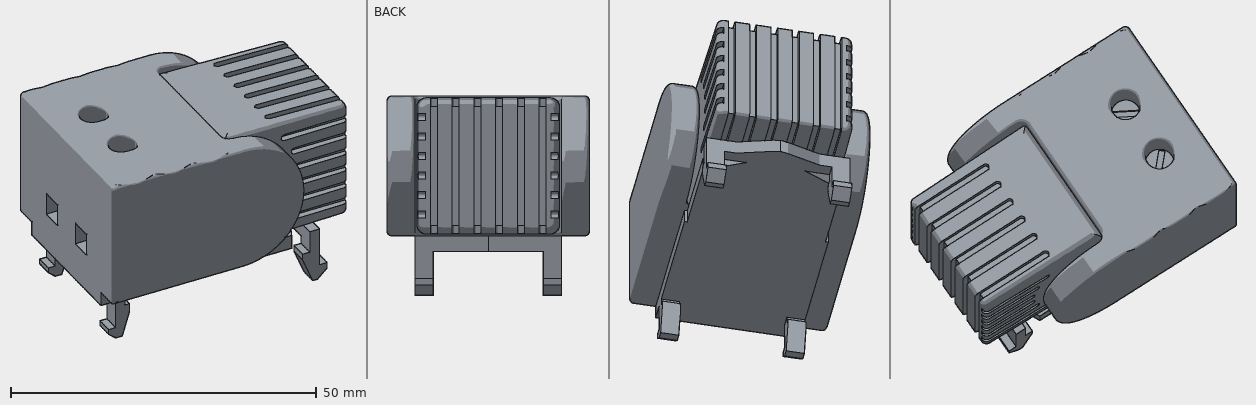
import cadquery as cq
import math

width = 33.15
height = 22.95
length = 46.25
mid_height = height / 2
cheek_radius = mid_height
cheek_centre_y = 24.1
outer_fillet = 0.85

gap_width = 23.95
gap_floor_y = 23.12
gap_corner_radius = 1.4
gap_fillet = 0.75

groove_count = 3
groove_pitch = 7.0
groove_depth = 0.32
groove_flat = 0.1
groove_end_fillet = outer_fillet - groove_depth
first_ridge_y = outer_fillet

terminal_x = 5.05
screw_y = first_ridge_y + groove_pitch
screw_radius = 2.35
screw_depth = 5.1
screw_rim_fillet = 0.45
screw_slot_length = 4.55
screw_slot_width = 1.0
screw_slot_depth = 0.5
screw_slot_angles = (-43, 60)
entry_width = 3.85
entry_height = 4.02
entry_centre_z = 6.45
entry_depth = 5.0
entry_inset = 0.35

plug_front_width = 23.4
plug_front_height = 22.4
plug_draft = 0.4
plug_corner_radius = 1.6
plug_front_fillet = 1.45
plug_rear_fillet = 0.92

slot_width = 1.15
slot_depth = 1.0
top_slot_count = 6
top_slot_pitch = 3.55
top_slot_end_y = 32.2
side_slot_pitch = 3.2
side_slot_end_ys = (36.5, 35.65, 33.75)

plate_width = 24.05
plate_thickness = 2.55
tail_width = 23.12
tail_shoulder_y = 35.65
tail_neck_width = 9.8
tip_base_width = 13.88
tip_bend_width = 2.78
tip_bend_y = 42.2
tip_y = 42.45
leg_width = 3.05
leg_bottom_z = -9.7
front_leg_front_y = 2.75
front_leg_back_y = 4.5
rear_leg_front_y = 38.75
rear_leg_back_y = 40.6

front_leg_front_barb = [(1.45, -8.6), (1.45, -7.7), (front_leg_front_y, -7.7)]
front_leg_back_barb = [(front_leg_back_y, -3.8), (5.3, -3.8), (5.3, -5.3)]
front_leg_tip_back_y = 4.0
rear_leg_front_barb = [(rear_leg_front_y, -4.0), (37.4, -4.0), (37.4, -5.1)]
rear_leg_back_barb = [(42.0, -8.05), (42.0, -7.0), (rear_leg_back_y, -7.0)]
rear_leg_tip_front_y = 39.3
rear_leg_tip_back_y = 40.2

pick_margin = 0.05


def make_box(x_range, y_range, z_range):
    """Box given by its limits along each axis."""
    return (
        cq.Workplane()
        .box(x_range[1] - x_range[0], y_range[1] - y_range[0], z_range[1] - z_range[0], centered=False)
        .translate((x_range[0], y_range[0], z_range[0]))
    )


def make_housing():
    """Rounded block with the cheek gap and all of its edge fillets."""
    block = (
        cq.Workplane("YZ")
        .lineTo(cheek_centre_y, 0)
        .threePointArc((cheek_centre_y + cheek_radius, mid_height), (cheek_centre_y, height))
        .lineTo(0, height)
        .close()
        .extrude(width / 2, both=True)
    )
    gap = make_box((-gap_width / 2, gap_width / 2), (gap_floor_y, length), (0, height))
    gap = gap.edges("<Y and |Z").fillet(gap_corner_radius)
    block = block.edges("<X or >X or (<Y and >Z)").fillet(outer_fillet)
    housing = block.cut(gap)
    gap_rim = cq.selectors.BoxSelector(
        (-gap_width / 2 - pick_margin, gap_floor_y - pick_margin, -pick_margin),
        (gap_width / 2 + pick_margin, length, height + pick_margin),
        True,
    )
    return housing.edges(gap_rim).edges("not |Z").fillet(gap_fillet)


def cut_grip_grooves(body):
    """V grooves side by side along the top, leaving sharp ridges; the groove ends are rounded off."""
    outline = [(0, 0), (0, height), (first_ridge_y, height)]
    for index in range(groove_count):
        ridge_y = first_ridge_y + index * groove_pitch
        trough_y = ridge_y + groove_pitch / 2
        outline += [
            (trough_y - groove_flat / 2, height - groove_depth),
            (trough_y + groove_flat / 2, height - groove_depth),
            (ridge_y + groove_pitch, height),
        ]
    outline += [(length, height), (length, 0)]
    grooved_block = cq.Workplane("YZ").polyline(outline).close().extrude(width / 2, both=True)
    top_side_edges = cq.selectors.BoxSelector(
        (-width, first_ridge_y - pick_margin, mid_height), (width, length - pick_margin, 2 * height)
    )
    grooved_block = grooved_block.edges("<X or >X").edges(top_side_edges).fillet(groove_end_fillet)
    return body.intersect(grooved_block)


def cut_screws(body):
    """Round wells with slotted screw heads at the bottom."""
    floor_z = height - screw_depth
    pick_reach = screw_radius + pick_margin
    for side, angle in zip((-1, 1), screw_slot_angles):
        x = side * terminal_x
        well = cq.Workplane().circle(screw_radius).extrude(screw_depth).translate((x, screw_y, floor_z))
        body = body.cut(well)
        slot = (
            cq.Workplane()
            .rect(screw_slot_length, screw_slot_width)
            .extrude(-screw_slot_depth)
            .rotate((0, 0, 0), (0, 0, 1), angle)
            .translate((x, screw_y, floor_z))
        )
        body = body.cut(slot)
        rim = cq.selectors.BoxSelector(
            (x - pick_reach, screw_y - pick_reach, height - 2 * groove_depth),
            (x + pick_reach, screw_y + pick_reach, height + pick_margin),
            True,
        )
        body = body.edges(rim).edges("not #Z").edges("not |Z").fillet(screw_rim_fillet)
    return body


def cut_wire_entries(body):
    """Rectangular funnels that narrow towards their floor."""
    entry_taper = math.degrees(math.atan(entry_inset / entry_depth))
    for x in (-terminal_x, terminal_x):
        entry = (
            cq.Workplane("XZ", origin=(x, 0, entry_centre_z))
            .rect(entry_width, entry_height)
            .extrude(-entry_depth, taper=entry_taper)
        )
        body = body.cut(entry)
    return body


def plug_section(inset):
    """Rounded cross-section of the plug, shrunk evenly by inset."""
    return (
        cq.Sketch()
        .rect(plug_front_width - 2 * inset, plug_front_height - 2 * inset)
        .vertices()
        .fillet(plug_corner_radius - inset)
    )


def make_plug():
    """Tapered block, rounded above and below at the front and all round at the rear."""
    rear_section = plug_section(plug_draft).moved(cq.Location(cq.Vector(0, 0, gap_floor_y - length)))
    plug = (
        cq.Workplane("XZ", origin=(0, gap_floor_y, mid_height))
        .placeSketch(plug_section(0), rear_section)
        .loft(ruled=True)
    )
    front_half = plug_front_height / 2
    rear_half = front_half - plug_draft
    side_profile = [
        (gap_floor_y, mid_height - front_half),
        (gap_floor_y, mid_height + front_half),
        (length, mid_height + rear_half),
        (length, mid_height - rear_half),
    ]
    rounding = cq.Workplane("YZ").polyline(side_profile).close().extrude(plug_front_width, both=True)
    rounding = rounding.edges("<Y and |X").fillet(plug_front_fillet)
    plug = plug.intersect(rounding)
    return plug.faces(">Y").edges().fillet(plug_rear_fillet)


def grip_slot(end_y):
    """Slot cutter lying flat, running rearwards from its rounded end."""
    straight_start = end_y + slot_width / 2
    return (
        cq.Workplane()
        .moveTo(slot_width / 2, length)
        .lineTo(slot_width / 2, straight_start)
        .threePointArc((0, end_y), (-slot_width / 2, straight_start))
        .lineTo(-slot_width / 2, length)
        .close()
        .extrude(height)
    )


def cut_grip_slots(plug):
    """Slots on the top, bottom and both sides; the top ones run down the rear face."""
    rear_half_width = plug_front_width / 2 - plug_draft
    rear_half_height = plug_front_height / 2 - plug_draft
    for index in range(top_slot_count):
        x = (index - (top_slot_count - 1) / 2) * top_slot_pitch
        slot = grip_slot(top_slot_end_y)
        plug = plug.cut(slot.translate((x, 0, mid_height + rear_half_height - slot_depth)))
        plug = plug.cut(slot.translate((x, 0, mid_height - rear_half_height + slot_depth - height)))
        slot_sides = (x - slot_width / 2, x + slot_width / 2)
        plug = plug.cut(make_box(slot_sides, (length - slot_depth, length), (0, height)))
    for index, end_y in enumerate(side_slot_end_ys):
        for side in (-1, 1):
            for up in (-1, 1):
                z = mid_height + up * (index + 0.5) * side_slot_pitch
                slot = grip_slot(end_y).rotate((0, 0, 0), (0, 1, 0), side * 90)
                plug = plug.cut(slot.translate((side * (rear_half_width - slot_depth), 0, z)))
    return plug


def make_base_plate():
    """Flat plate with a pointed tail and the crossbar that carries the rear legs."""
    half_outline = [
        (plate_width / 2, 0),
        (plate_width / 2, gap_floor_y),
        (tail_width / 2, gap_floor_y),
        (tail_width / 2, tail_shoulder_y),
        (tail_neck_width / 2, rear_leg_front_y),
        (plate_width / 2, rear_leg_front_y),
        (plate_width / 2, rear_leg_back_y),
        (tip_base_width / 2, rear_leg_back_y),
        (tip_bend_width / 2, tip_bend_y),
        (0, tip_y),
    ]
    mirrored = [(-x, y) for x, y in reversed(half_outline[:-1])]
    return cq.Workplane().polyline(half_outline + mirrored).close().extrude(-plate_thickness)


def add_legs(body):
    """Two pairs of snap legs with a barb on each side."""
    front_leg = [
        (front_leg_back_y, -plate_thickness),
        *front_leg_back_barb,
        (front_leg_tip_back_y, leg_bottom_z),
        (front_leg_front_y, leg_bottom_z),
        *front_leg_front_barb,
        (front_leg_front_y, -plate_thickness),
    ]
    rear_leg = [
        (rear_leg_front_y, -plate_thickness),
        *rear_leg_front_barb,
        (rear_leg_tip_front_y, leg_bottom_z),
        (rear_leg_tip_back_y, leg_bottom_z),
        *rear_leg_back_barb,
        (rear_leg_back_y, -plate_thickness),
    ]
    for outline in (front_leg, rear_leg):
        leg = cq.Workplane("YZ").polyline(outline).close().extrude(leg_width)
        for x in (-plate_width / 2, plate_width / 2 - leg_width):
            body = body.union(leg.translate((x, 0, 0)))
    return body


housing = make_housing()
housing = cut_grip_grooves(housing)
housing = cut_screws(housing)
plug = cut_grip_slots(make_plug())
body = housing.union(plug).union(make_base_plate())
body = cut_wire_entries(body)
result = add_legs(body)